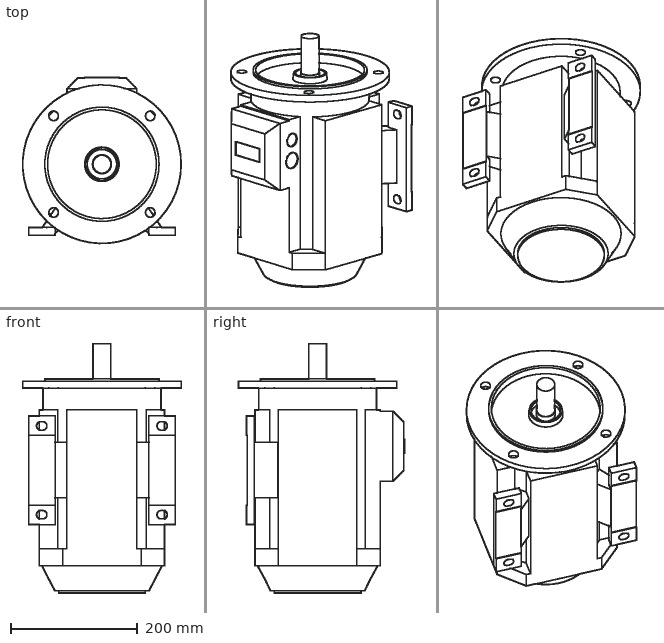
import cadquery as cq


TOTAL_HEIGHT = 393
FAN_CAP_TOP = 3.5
FAN_COVER_TOP = 43.0
SKIRT_TOP = 70.0
BODY_TOP = 288.5
FLANGE_BOTTOM = 322.5
FLANGE_TOP = 333.5
SPIGOT_TOP = 337.0

FAN_CAP_RADIUS = 68.5
FAN_COVER_BOTTOM_RADIUS = 74.3
FAN_COVER_TOP_RADIUS = 94.7
CORE_RADIUS = 93.0
FLANGE_RADIUS = 125.0
SPIGOT_RADIUS = 90.0
SPIGOT_BORE_RADIUS = 85.5
FLANGE_HOLE_DIAMETER = 15.0
FLANGE_HOLE_SPACING = 152.0

SHAFT_RADIUS = 14.0
SHOULDER_RADIUS = 15.0
SHOULDER_TOP = 333.0
COLLAR_BOTTOM_RADIUS = 27.0
COLLAR_TOP_RADIUS = 26.0
COLLAR_BORE_RADIUS = 23.0
COLLAR_HEIGHT = 9.5

BODY_WIDTH = 197.5
FRONT_PANEL_WIDTH = 110
SIDE_PANEL_WIDTH = 123.8
SKIRT_CHAMFER = (BODY_WIDTH - SIDE_PANEL_WIDTH) / 2

FOOT_INNER_X = 74.0
FOOT_OUTER_X = 115.5
FOOT_BACK_Y = -99.5
FOOT_FRONT_Y = -112.0
FOOT_RELIEF_DEPTH = 1.0
FOOT_BOTTOM = 107.5
FOOT_TOP = 279
FOOT_PAD_LENGTH = 30.5
FOOT_SLOT_LENGTH = 16.0
FOOT_SLOT_WIDTH = 13.5
FOOT_SLOT_SPACING = 140.0
BRACKET_BOTTOM = 150.0
BRACKET_TOP = 237.8
BRACKET_ROOT_Y = -90.5
BRACKET_OUTER_ROOT_X = 68.5
BRACKET_OUTER_TIP_X = 94.0

BOX_BOTTOM = 176.0
BOX_TOP = 286.5
BOX_WALL_Y = 118.5
BOX_LID_Y = 136.0
BOX_BEVEL = 17.0
LABEL_WIDTH = 54.2
LABEL_HEIGHT = 22.0
LABEL_THICKNESS = 1.0
ENTRY_Y = 92.5
ENTRY_DEPTH = 2.0
CABLE_ENTRIES = [(253.5, 21.2), (219.5, 25.5)]


def cylinder(radius, bottom, top):
    return cq.Workplane("XY").workplane(offset=bottom).circle(radius).extrude(top - bottom)


def block(x_range, y_range, z_range):
    spans = [end - start for start, end in (x_range, y_range, z_range)]
    corner = (x_range[0], y_range[0], z_range[0])
    return cq.Workplane("XY").box(*spans, centered=False).translate(corner)


def frustum(bottom_radius, top_radius, bottom, top):
    profile = [(0, bottom), (bottom_radius, bottom), (top_radius, top), (0, top)]
    return cq.Workplane("XZ").polyline(profile).close().revolve(360, (0, 0), (0, 1))


def panel_block(x_width, y_width, bottom, top):
    return cq.Workplane("XY").workplane(offset=bottom).rect(x_width, y_width).extrude(top - bottom)


def make_housing():
    """Fan cover, chamfered skirt, four flat panels and the round core between them."""
    fan_cap = cylinder(FAN_CAP_RADIUS, 0, FAN_CAP_TOP)
    fan_cover = frustum(FAN_COVER_BOTTOM_RADIUS, FAN_COVER_TOP_RADIUS, FAN_CAP_TOP, FAN_COVER_TOP)
    skirt = panel_block(BODY_WIDTH, BODY_WIDTH, FAN_COVER_TOP, SKIRT_TOP).edges("|Z").chamfer(SKIRT_CHAMFER)
    front_and_back = panel_block(FRONT_PANEL_WIDTH, BODY_WIDTH, SKIRT_TOP, BODY_TOP)
    sides = panel_block(BODY_WIDTH, SIDE_PANEL_WIDTH, SKIRT_TOP, BODY_TOP)
    core = cylinder(CORE_RADIUS, SKIRT_TOP, FLANGE_BOTTOM)
    return fan_cap.union(fan_cover).union(skirt).union(core).union(front_and_back).union(sides)


def make_flange():
    """Drilled flange with a spigot ring; the bore goes down to the end shield."""
    flange = cylinder(FLANGE_RADIUS, FLANGE_BOTTOM, FLANGE_TOP)
    flange = flange.union(cylinder(SPIGOT_RADIUS, FLANGE_TOP, SPIGOT_TOP))
    flange = flange.cut(cylinder(SPIGOT_BORE_RADIUS, FLANGE_BOTTOM, SPIGOT_TOP))
    holes = (
        cq.Workplane("XY").workplane(offset=FLANGE_BOTTOM)
        .rect(FLANGE_HOLE_SPACING, FLANGE_HOLE_SPACING, forConstruction=True).vertices()
        .circle(FLANGE_HOLE_DIAMETER / 2).extrude(FLANGE_TOP - FLANGE_BOTTOM)
    )
    return flange.cut(holes)


def make_shaft():
    """Stepped shaft standing inside an open bearing collar."""
    collar_top = FLANGE_BOTTOM + COLLAR_HEIGHT
    collar = frustum(COLLAR_BOTTOM_RADIUS, COLLAR_TOP_RADIUS, FLANGE_BOTTOM, collar_top)
    collar = collar.cut(cylinder(COLLAR_BORE_RADIUS, FLANGE_BOTTOM, collar_top))
    shoulder = cylinder(SHOULDER_RADIUS, FLANGE_BOTTOM, SHOULDER_TOP)
    shaft = cylinder(SHAFT_RADIUS, SHOULDER_TOP, TOTAL_HEIGHT)
    return shoulder.union(shaft).union(collar)


def make_foot():
    """Foot on the +X side: a slotted plate and the bracket joining it to the housing."""
    x_range = (FOOT_INNER_X, FOOT_OUTER_X)
    relief_y = FOOT_FRONT_Y + FOOT_RELIEF_DEPTH
    plate = block(x_range, (FOOT_FRONT_Y, FOOT_BACK_Y), (FOOT_BOTTOM, FOOT_TOP))
    relief = block(
        x_range,
        (FOOT_FRONT_Y, relief_y),
        (FOOT_BOTTOM + FOOT_PAD_LENGTH, FOOT_TOP - FOOT_PAD_LENGTH),
    )
    slots = (
        cq.Workplane("XZ", origin=(sum(x_range) / 2, FOOT_BACK_Y, (FOOT_BOTTOM + FOOT_TOP) / 2))
        .pushPoints([(0, -FOOT_SLOT_SPACING / 2), (0, FOOT_SLOT_SPACING / 2)])
        .slot2D(FOOT_SLOT_LENGTH, FOOT_SLOT_WIDTH).extrude(FOOT_BACK_Y - FOOT_FRONT_Y)
    )
    inner_root_x = FRONT_PANEL_WIDTH / 2
    inner_tip_y = BRACKET_ROOT_Y - (FOOT_INNER_X - inner_root_x)
    bracket_outline = [
        (inner_root_x, -SIDE_PANEL_WIDTH / 2),
        (inner_root_x, BRACKET_ROOT_Y),
        (FOOT_INNER_X, inner_tip_y),
        (FOOT_INNER_X, FOOT_BACK_Y),
        (BRACKET_OUTER_TIP_X, FOOT_BACK_Y),
        (BRACKET_OUTER_ROOT_X, -SIDE_PANEL_WIDTH / 2),
    ]
    bracket = (
        cq.Workplane("XY").workplane(offset=BRACKET_BOTTOM)
        .polyline(bracket_outline).close().extrude(BRACKET_TOP - BRACKET_BOTTOM)
    )
    return plate.cut(relief).cut(slots).union(bracket)


def make_terminal_box():
    """Box on the +Y panel with a bevelled lid and a raised label plate."""
    half_width = FRONT_PANEL_WIDTH / 2
    middle = (BOX_BOTTOM + BOX_TOP) / 2
    lid_block = block((-half_width, half_width), (0, BOX_LID_Y), (BOX_BOTTOM, BOX_TOP))
    box = lid_block.faces(">Y").chamfer(BOX_LID_Y - BOX_WALL_Y, BOX_BEVEL)
    label = block(
        (-LABEL_WIDTH / 2, LABEL_WIDTH / 2),
        (BOX_LID_Y, BOX_LID_Y + LABEL_THICKNESS),
        (middle - LABEL_HEIGHT / 2, middle + LABEL_HEIGHT / 2),
    )
    return box.union(label)


def make_cable_entry(height, diameter):
    """Shallow round recess in the -X wall of the terminal box."""
    wall = cq.Workplane("YZ", origin=(-FRONT_PANEL_WIDTH / 2, ENTRY_Y, height))
    return wall.circle(diameter / 2).extrude(ENTRY_DEPTH)


foot = make_foot()
result = make_housing().union(make_flange()).union(make_shaft()).union(make_terminal_box())
result = result.union(foot).union(foot.mirror("YZ"))
for entry_height, entry_diameter in CABLE_ENTRIES:
    result = result.cut(make_cable_entry(entry_height, entry_diameter))